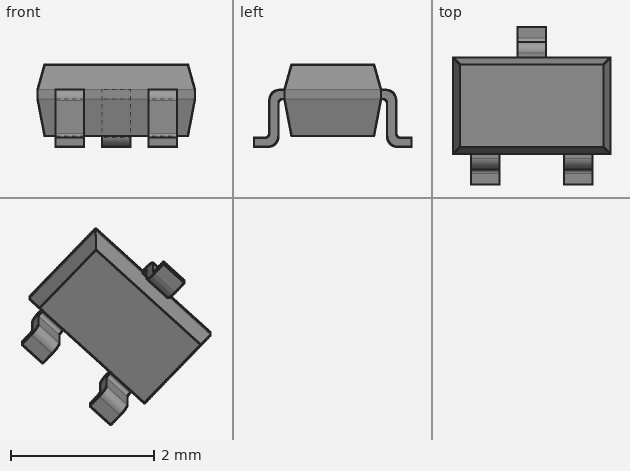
import cadquery as cq

housing_length = 2.2
housing_width = 1.35
housing_bottom = 0.15
housing_top = 1.15
taper_inset = 0.1

lead_span = 2.2
lead_width = 0.4
lead_thickness = 0.13
lead_pitch = 1.3
lead_top = 0.799
foot_length = 0.213
outer_bend_radius = 0.15
inner_bend_radius = 0.06

band_top = lead_top
band_bottom = lead_top - lead_thickness


def make_tapered_half(band_z, end_z):
    """Frustum from the full band outline at band_z to the inset outline at end_z."""
    return (
        cq.Workplane("XY", origin=(0, 0, band_z))
        .rect(housing_length, housing_width)
        .workplane(offset=end_z - band_z)
        .rect(housing_length - 2 * taper_inset, housing_width - 2 * taper_inset)
        .loft(ruled=True)
    )


def make_housing():
    band = (
        cq.Workplane("XY", origin=(0, 0, band_bottom))
        .rect(housing_length, housing_width)
        .extrude(lead_thickness)
    )
    upper_half = make_tapered_half(band_top, housing_top)
    lower_half = make_tapered_half(band_bottom, housing_bottom)
    return band.union(upper_half).union(lower_half)


def make_lead(center_x, side):
    """Lead centred on center_x, leaving the housing towards +Y (side = 1) or -Y (side = -1)."""
    root = housing_width / 2
    toe = lead_span / 2
    leg_outer = toe - foot_length
    leg_inner = leg_outer - lead_thickness
    profile = [
        (root, band_top),
        (leg_outer, band_top),
        (leg_outer, lead_thickness),
        (toe, lead_thickness),
        (toe, 0),
        (leg_inner, 0),
        (leg_inner, band_bottom),
        (root, band_bottom),
    ]
    lead = (
        cq.Workplane("YZ", origin=(center_x - lead_width / 2, 0, 0))
        .polyline([(side * y, z) for y, z in profile])
        .close()
        .extrude(lead_width)
    )

    def bend_edge(y, z):
        return cq.selectors.NearestToPointSelector((center_x, side * y, z))

    lead = lead.edges(bend_edge(leg_outer, band_top)).fillet(outer_bend_radius)
    lead = lead.edges(bend_edge(leg_inner, 0)).fillet(outer_bend_radius)
    lead = lead.edges(bend_edge(leg_outer, lead_thickness)).fillet(inner_bend_radius)
    return lead.edges(bend_edge(leg_inner, band_bottom)).fillet(inner_bend_radius)


housing = make_housing()

lead_places = [(-lead_pitch / 2, -1), (lead_pitch / 2, -1), (0, 1)]
leads = [make_lead(center_x, side).val() for center_x, side in lead_places]

result = cq.Compound.makeCompound([housing.val(), *leads])